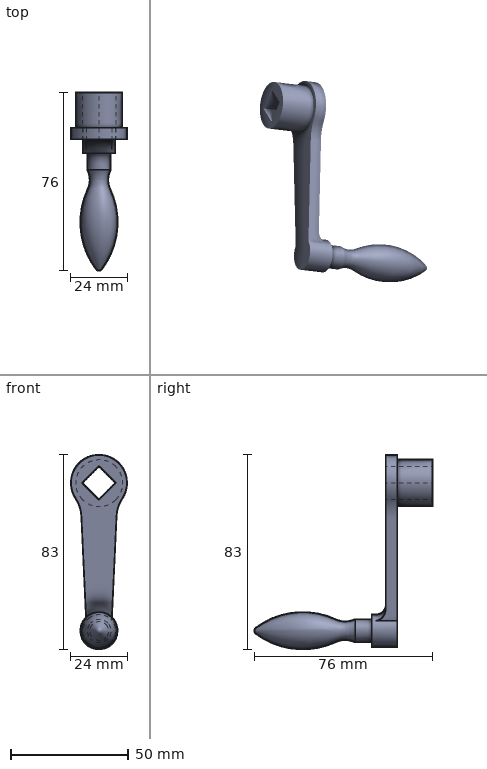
import cadquery as cq
import math


hub_radius = 10.0
hub_length = 15.0
eye_radius = 12.0
socket_side = 10.0
arm_thickness = 5.0
arm_length = 63.0
arm_half_width_at_hub = 8.2
arm_half_width_at_boss = 5.3
eye_blend_radius = 15.0

boss_radius = 7.0
boss_height = 6.0
boss_blend_radius = 4.0

handle_length = 56.0
collar_end = 13.0
collar_radius = 5.0
waist_radius = 4.0
neck_arc_radius = 9.5
bulb_radius = 8.0
bulb_arc_radius = 33.0
tip_radius = 1.5


def rod(radius, z, back, front):
    """Cylinder along Y, at height z, from Y = back to Y = front."""
    return cq.Workplane("XZ", origin=(0, back, z)).circle(radius).extrude(back - front)


def tapered_bar(back, front):
    """Straight-sided bar of the arm's taper, between the hub and handle axes."""
    return (
        cq.Workplane("XZ", origin=(0, back, 0))
        .moveTo(-arm_half_width_at_hub, 0)
        .lineTo(arm_half_width_at_hub, 0)
        .lineTo(arm_half_width_at_boss, -arm_length)
        .lineTo(-arm_half_width_at_boss, -arm_length)
        .close()
        .extrude(back - front)
    )


def make_arm():
    """Flat arm with a round eye, the inner corners beside the eye blended."""
    taper = (arm_half_width_at_hub - arm_half_width_at_boss) / arm_length
    a = 1 + taper**2
    b = 2 * arm_half_width_at_hub * taper
    c = arm_half_width_at_hub**2 - eye_radius**2
    corner_z = (-b - math.sqrt(b**2 - 4 * a * c)) / (2 * a)
    corner_x = arm_half_width_at_hub + taper * corner_z

    plate = rod(eye_radius, 0, arm_thickness, 0).union(tapered_bar(arm_thickness, 0))
    mid_thickness = arm_thickness / 2
    corners = []
    for x in (-corner_x, corner_x):
        nearest = cq.selectors.NearestToPointSelector((x, mid_thickness, corner_z))
        corners.append(plate.edges(nearest).val())
    return plate.newObject(corners).fillet(eye_blend_radius)


def make_boss_blend():
    """Concave ring between the boss and the arm's front face, trimmed to the arm's width."""
    ring_radius = boss_radius + boss_blend_radius
    mid_offset = boss_blend_radius * (1 - math.sqrt(0.5))
    ring = (
        cq.Workplane("XY", origin=(0, 0, -arm_length))
        .lineTo(ring_radius, 0)
        .threePointArc((boss_radius + mid_offset, -mid_offset), (boss_radius, -boss_blend_radius))
        .lineTo(0, -boss_blend_radius)
        .close()
        .revolve(360, (0, 0, 0), (0, 1, 0))
    )
    return ring.intersect(tapered_bar(0, -boss_blend_radius))


def make_handle():
    """Turned handle: collar, concave neck, bulb and rounded tip, all arcs tangent."""
    tip_center = handle_length - tip_radius
    bulb_center_radius = bulb_radius - bulb_arc_radius
    peak = tip_center - math.sqrt((bulb_arc_radius - tip_radius) ** 2 - bulb_center_radius**2)

    neck_center_radius = waist_radius + neck_arc_radius
    center_gap = bulb_arc_radius + neck_arc_radius
    radial_gap = neck_center_radius - bulb_center_radius
    waist = peak - math.sqrt(center_gap**2 - radial_gap**2)

    neck_share = neck_arc_radius / center_gap
    neck_end = waist + neck_share * (peak - waist)
    neck_end_radius = neck_center_radius - neck_share * radial_gap

    tip_share = tip_radius / (bulb_arc_radius - tip_radius)
    bulb_end = tip_center + tip_share * (tip_center - peak)
    bulb_end_radius = -tip_share * bulb_center_radius

    collar_run = waist - collar_end
    collar_rise = collar_radius - waist_radius
    collar_arc_radius = (collar_run**2 + collar_rise**2) / (2 * collar_rise)

    return (
        cq.Workplane("XY", origin=(0, 0, -arm_length))
        .lineTo(collar_radius, 0)
        .lineTo(collar_radius, -collar_end)
        .radiusArc((waist_radius, -waist), -collar_arc_radius)
        .radiusArc((neck_end_radius, -neck_end), -neck_arc_radius)
        .threePointArc((bulb_radius, -peak), (bulb_end_radius, -bulb_end))
        .radiusArc((0, -handle_length), tip_radius)
        .close()
        .revolve(360, (0, 0, 0), (0, 1, 0))
    )


def make_socket():
    """Square hole through the hub and eye, standing on its corner."""
    depth = arm_thickness + hub_length
    return (
        cq.Workplane("XZ")
        .transformed(rotate=(0, 0, 45))
        .rect(socket_side, socket_side)
        .extrude(-depth)
    )


hub = rod(hub_radius, 0, arm_thickness + hub_length, arm_thickness)
boss = rod(boss_radius, -arm_length, arm_thickness, -boss_height)

result = (
    make_arm()
    .union(hub)
    .union(boss)
    .union(make_boss_blend())
    .union(make_handle())
    .cut(make_socket())
)